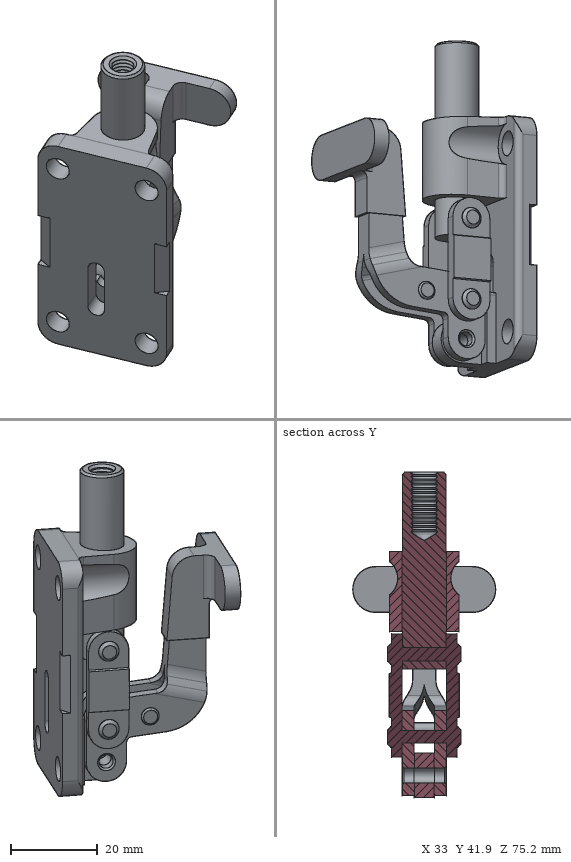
import cadquery as cq
import math

axis_y = 12.7
pivot_z = 5.2
lower_pin_z = 14.05
upper_pin_z = 33.1
pin_radius = 1.5
pivot_hole_radius = 1.65
pivot_hole_chamfer = 0.45
leg_half_width = 5.1
leg_thickness = 2.8
leg_gap_half = leg_half_width - leg_thickness

plate_width = 32.0
plate_height = 57.1
plate_thickness = 5.1
plate_corner_radius = 5.0
plate_edge_radius = 1.5
screw_hole_radius = 2.85
screw_x = 11.05
screw_margin = 6.45
screw_head_radius = 4.9
notch_bottom = 21.65
notch_height = 14.1
notch_width = 3.0
notch_depth = 1.9
slot_x = -1.5
slot_width = 4.1
slot_bottom = 11.05
slot_top = 26.1
pad_slot_bottom = 15.55
boss_radius = 8.0
boss_lean = 8.0
boss_draft = 2.0
boss_root_radius = 1.5
boss_bottom = 38.0
pad_half_width = leg_half_width
pad_front = 7.5
pad_height = 16.75
pad_corner_radius = 0.75

plunger_radius = 10.15 / 2
plunger_bottom = 29.7
plunger_top = 75.15
plunger_chamfer = 0.5
thread_minor_radius = 2.55
thread_major_radius = 3.0
thread_mouth_radius = 3.15
thread_pitch = 1.0
thread_count = 14
drill_tip_depth = 1.5

link_half_depth = 4.7
link_end_half_width = 7.6
link_middle_half_width = 8.1
link_middle_bottom = 18.55
link_middle_top = 28.7
link_step_height = 0.2
link_head_radius = 2.4
link_head_chamfer = 0.75
link_head_half_width = 8.5

taper = 0.08
foot_radius = 4.7
foot_top_radius = 4.95
arm_root_radius = 1.35
elbow_outer_radius = 10.75
elbow_inner_radius = 2.7
arm_bottom_z = 10.8
arm_top_z = 20.6
upright_outer_y = 36.7
upright_inner_y = 28.0
bend_radius = 4.95
bend_angle = math.radians(31)
bend_tilt = math.radians(14.3)
bend_start = 26.4
upright_half_width = 2.7
stop_pin_y = 23.0
stop_pin_z = 15.6
stop_pin_radius = 1.7
stop_head_radius = 2.1
stop_head_half_width = 5.6
stop_head_chamfer = 0.45

grip_bottom = 33.05
grip_half_width = 3.1
grip_overhang = 0.7
grip_top_radius = 5.2
bar_half_length = 33.0 / 2
bar_back = 38.25
bar_front = 41.9
bar_bottom = 42.75
bar_top = 53.35
neck_radius = 2.25
neck_lower_radius = 1.5


def rounded_outline(plane, corners):
    """Closed outline through (u, v, radius) corners, each rounded by a tangent arc."""
    smallest_line = 7.51e-07
    stretches = []
    for i, (u, v, radius) in enumerate(corners):
        corner = cq.Vector(u, v)
        before = (cq.Vector(*corners[i - 1][:2]) - corner).normalized()
        after = (cq.Vector(*corners[(i + 1) % len(corners)][:2]) - corner).normalized()
        half_angle = before.getAngle(after) / 2
        reach = radius / math.tan(half_angle)
        arc_distance = radius / math.sin(half_angle) - radius
        middle = corner + (before + after).normalized() * arc_distance
        stretches.append((corner + before * reach, middle, corner + after * reach, radius))
    outline = cq.Workplane(plane).moveTo(*stretches[0][0].toTuple()[:2])
    here = stretches[0][0]
    for start, middle, end, radius in stretches:
        if (start - here).Length > smallest_line:
            outline = outline.lineTo(start.x, start.y)
        if radius > 0:
            outline = outline.threePointArc((middle.x, middle.y), (end.x, end.y))
        here = end
    return outline.close()


def rod_x(y, z, radius, half_length):
    """Cylinder along X, centred on the middle plane."""
    return cq.Workplane("YZ", origin=(-half_length, y, z)).circle(radius).extrude(2 * half_length)


def box_between(x, y, z):
    """Box spanning the given (low, high) pairs."""
    return cq.Workplane("XY").box(x[1] - x[0], y[1] - y[0], z[1] - z[0], centered=False).translate(
        (x[0], y[0], z[0])
    )


def rod_y(x, z, radius, start, end):
    """Cylinder along Y between two distances from the back of the plate."""
    return cq.Workplane("XZ", origin=(x, start, z)).circle(radius).extrude(start - end)


def slot_cutter(bottom, start, end):
    """Upright slot with round ends, cut along Y."""
    length = slot_top - bottom
    centre = (slot_x, start, (slot_top + bottom) / 2)
    return cq.Workplane("XZ", origin=centre).slot2D(length, slot_width, 90).extrude(start - end)


def make_plate():
    half = plate_width / 2
    plate = box_between((-half, half), (0, plate_thickness), (0, plate_height))
    plate = plate.faces(">Y").edges("|Z").fillet(plate_edge_radius)
    corners = (
        cq.Workplane("XZ", origin=(0, 0, plate_height / 2))
        .rect(plate_width, plate_height)
        .extrude(-plate_thickness)
        .edges("|Y")
        .fillet(plate_corner_radius)
    )
    plate = plate.intersect(corners)
    for side in (-1, 1):
        notch = (
            cq.Workplane("XY", origin=(0, 0, notch_bottom))
            .polyline([(side * half, 0), (side * (half - notch_width), 0), (side * half, notch_depth)])
            .close()
            .extrude(notch_height)
        )
        plate = plate.cut(notch)
    return plate


def make_boss():
    lean = math.radians(boss_lean)
    tangent_x = boss_radius * math.cos(lean)
    tangent_y = axis_y + boss_radius * math.sin(lean)
    root_x = tangent_x + (tangent_y - plate_thickness) * math.tan(lean)
    flange_x = root_x + boss_root_radius
    section = (
        cq.Workplane("XY")
        .moveTo(-root_x, plate_thickness)
        .lineTo(-tangent_x, tangent_y)
        .threePointArc((0, axis_y + boss_radius), (tangent_x, tangent_y))
        .lineTo(root_x, plate_thickness)
        .lineTo(flange_x, plate_thickness)
        .lineTo(flange_x, 0)
        .lineTo(-flange_x, 0)
        .lineTo(-flange_x, plate_thickness)
        .close()
        .extrude(plate_height)
    )
    reach = boss_root_radius / 2
    root_edges = cq.selectors.BoxSelector(
        (-root_x - reach, plate_thickness - reach, 0),
        (root_x + reach, plate_thickness + reach, plate_height),
    )
    section = section.edges("|Z").edges(root_edges).fillet(boss_root_radius)

    front = axis_y + boss_radius
    rise = (front - plate_thickness) * math.tan(math.radians(boss_draft))
    side_profile = (
        cq.Workplane("YZ", origin=(-plate_width / 2, 0, 0))
        .polyline(
            [
                (0, boss_bottom),
                (plate_thickness, boss_bottom),
                (front, boss_bottom + rise),
                (front, plate_height - rise),
                (plate_thickness, plate_height),
                (0, plate_height),
            ]
        )
        .close()
        .extrude(plate_width)
    )
    return section.intersect(side_profile)


def make_pivot_lug():
    """Lug between the handle legs, on a pad behind them."""
    lug = rod_x(axis_y, pivot_z, pivot_z, leg_gap_half)
    lug = lug.union(box_between((-leg_gap_half, leg_gap_half), (0, axis_y), (0, 2 * pivot_z)))
    pad = box_between((-pad_half_width, pad_half_width), (0, pad_front), (0, pad_height))
    pad = pad.faces(">Z").edges("|Y").fillet(pad_corner_radius)
    return lug.union(pad).cut(rod_x(axis_y, pivot_z, pivot_hole_radius, leg_gap_half))


def make_base():
    base = make_plate().union(make_boss()).union(make_pivot_lug())
    base = base.cut(slot_cutter(slot_bottom, 0, plate_thickness))
    base = base.cut(slot_cutter(pad_slot_bottom, 0, pad_front))
    for x in (-screw_x, screw_x):
        for z in (screw_margin, plate_height - screw_margin):
            base = base.cut(rod_y(x, z, screw_hole_radius, 0, plate_thickness))
        head_room = rod_y(
            x, plate_height - screw_margin, screw_head_radius, plate_thickness, axis_y + boss_radius
        )
        base = base.cut(head_room)
    bore = cq.Workplane("XY", origin=(0, axis_y, 0)).workplane(offset=boss_bottom)
    return base.cut(bore.circle(plunger_radius).extrude(plate_height - boss_bottom))


def make_threaded_hole():
    """Hole with a chamfered mouth, ring-shaped thread grooves and a conical tip."""
    mouth_depth = thread_mouth_radius - thread_minor_radius
    thread_start = plunger_top - mouth_depth
    points = [(0, plunger_top), (thread_mouth_radius, plunger_top), (thread_minor_radius, thread_start)]
    for i in range(thread_count):
        groove_top = thread_start - i * thread_pitch
        points.append((thread_major_radius, groove_top - thread_pitch / 2))
        points.append((thread_minor_radius, groove_top - thread_pitch))
    tip_z = thread_start - thread_count * thread_pitch - drill_tip_depth
    points.append((0, tip_z))
    profile = cq.Workplane("XZ").polyline(points).close()
    return profile.revolve(360, (0, 0, 0), (0, 1, 0)).translate((0, axis_y, 0))


def make_plunger():
    rod = (
        cq.Workplane("XY", origin=(0, axis_y, plunger_bottom))
        .circle(plunger_radius)
        .extrude(plunger_top - plunger_bottom)
        .faces(">Z")
        .chamfer(plunger_chamfer)
    )
    rod = rod.cut(make_threaded_hole())
    return rod.cut(rod_x(axis_y, upper_pin_z, pin_radius, plunger_radius))


def make_link_plate():
    """Side plate on the +X side, thicker in the middle, with round ends."""
    low = lower_pin_z - link_half_depth
    high = upper_pin_z + link_half_depth
    half_step = link_step_height / 2
    outline = (
        cq.Workplane("YZ", origin=(0, axis_y, (low + high) / 2))
        .slot2D(high - low, 2 * link_half_depth, 90)
        .extrude(link_middle_half_width)
    )
    thickness_profile = cq.Workplane("XZ", origin=(0, axis_y, 0)).polyline(
        [
            (leg_half_width, low),
            (link_end_half_width, low),
            (link_end_half_width, link_middle_bottom - half_step),
            (link_middle_half_width, link_middle_bottom + half_step),
            (link_middle_half_width, link_middle_top - half_step),
            (link_end_half_width, link_middle_top + half_step),
            (link_end_half_width, high),
            (leg_half_width, high),
        ]
    )
    return thickness_profile.close().extrude(link_half_depth, both=True).intersect(outline)


def make_headed_pin(y, z, radius, head_radius, head_half_width, head_chamfer):
    """Pin between the outer faces of the legs, with a chamfered head beyond each of them."""
    heads = rod_x(y, z, head_radius, head_half_width).faces("<X or >X").chamfer(head_chamfer)
    heads = heads.cut(rod_x(y, z, head_radius, leg_half_width))
    return heads.union(rod_x(y, z, radius, leg_half_width))


def make_link():
    """Two side plates joined by two headed pins."""
    plate = make_link_plate()
    link = plate.union(plate.mirror("YZ"))
    for z in (lower_pin_z, upper_pin_z):
        pin = make_headed_pin(
            axis_y, z, pin_radius, link_head_radius, link_head_half_width, link_head_chamfer
        )
        link = link.union(pin)
    return link


def make_leg_section():
    """Leg of the fork, bent inwards to the upright; seen along the bend lines."""
    foot_far = -2 * leg_half_width
    upright_far = 2 * grip_bottom
    inner_radius = bend_radius - leg_thickness
    outer_radius = bend_radius + leg_thickness
    sine, cosine = math.sin(bend_angle), math.cos(bend_angle)
    half_sine, half_cosine = math.sin(bend_angle / 2), math.cos(bend_angle / 2)
    offset = leg_half_width - upright_half_width
    straight_rise = (offset - 2 * bend_radius * (1 - cosine)) / math.tan(bend_angle)
    bend_end = bend_start + 2 * bend_radius * sine + straight_rise
    lower_x = leg_half_width - bend_radius
    upper_x = upright_half_width + bend_radius

    def lower_arc(radius, s, c):
        return (lower_x + radius * c, bend_start + radius * s)

    def upper_arc(radius, s, c):
        return (upper_x - radius * c, bend_end - radius * s)

    plane = cq.Plane(
        origin=(0, 0, 0), xDir=(1, 0, 0), normal=(0, -math.cos(bend_tilt), math.sin(bend_tilt))
    )
    return (
        cq.Workplane(plane)
        .moveTo(leg_half_width, foot_far)
        .lineTo(*lower_arc(bend_radius, 0, 1))
        .threePointArc(
            lower_arc(bend_radius, half_sine, half_cosine), lower_arc(bend_radius, sine, cosine)
        )
        .lineTo(*upper_arc(bend_radius, sine, cosine))
        .threePointArc(upper_arc(bend_radius, half_sine, half_cosine), upper_arc(bend_radius, 0, 1))
        .lineTo(upright_half_width, upright_far)
        .lineTo(upright_half_width - leg_thickness, upright_far)
        .lineTo(*upper_arc(outer_radius, 0, 1))
        .threePointArc(
            upper_arc(outer_radius, half_sine, half_cosine), upper_arc(outer_radius, sine, cosine)
        )
        .lineTo(*lower_arc(inner_radius, sine, cosine))
        .threePointArc(
            lower_arc(inner_radius, half_sine, half_cosine), lower_arc(inner_radius, 0, 1)
        )
        .lineTo(leg_gap_half, foot_far)
        .close()
    )


def make_pivot_hole():
    """Hole through both legs, chamfered at its outer ends."""
    mouth_radius = pivot_hole_radius + pivot_hole_chamfer
    chamfer_x = leg_half_width - pivot_hole_chamfer
    profile = cq.Workplane("XY").polyline(
        [
            (-leg_half_width, 0),
            (-leg_half_width, mouth_radius),
            (-chamfer_x, pivot_hole_radius),
            (chamfer_x, pivot_hole_radius),
            (leg_half_width, mouth_radius),
            (leg_half_width, 0),
        ]
    )
    hole = profile.close().revolve(360, (0, 0, 0), (1, 0, 0))
    return hole.translate((0, axis_y, pivot_z))


def make_handle():
    foot_front = axis_y + foot_radius
    foot_back = axis_y - foot_radius
    foot_bottom = pivot_z - foot_radius
    inner_y = (upright_inner_y - taper * (grip_bottom - arm_top_z + taper * foot_front)) / (1 - taper**2)
    inner_z = arm_top_z + taper * (inner_y - foot_front)
    elbow_z = arm_bottom_z + taper * (upright_outer_y - foot_front)
    corners = [
        (foot_back, foot_bottom, foot_radius),
        (foot_front, foot_bottom, foot_radius),
        (foot_front, arm_bottom_z, arm_root_radius),
        (upright_outer_y, elbow_z, elbow_outer_radius),
        (upright_outer_y, grip_bottom, 0),
        (upright_inner_y, grip_bottom, 0),
        (inner_y, inner_z, elbow_inner_radius),
        (foot_back, arm_top_z - taper * 2 * foot_radius, foot_top_radius),
    ]
    side_view = rounded_outline("YZ", corners).extrude(leg_half_width, both=True)
    leg = make_leg_section().extrude(2 * bar_front, both=True)
    handle = side_view.intersect(leg.union(leg.mirror("YZ")))

    stop_pin = make_headed_pin(
        stop_pin_y, stop_pin_z, stop_pin_radius, stop_head_radius, stop_head_half_width, stop_head_chamfer
    )
    handle = handle.union(stop_pin)
    handle = handle.cut(rod_x(axis_y, lower_pin_z, pin_radius, leg_half_width))
    return handle.cut(make_pivot_hole())


def make_grip():
    neck_y = upright_outer_y + grip_overhang
    inner_y = upright_inner_y - grip_overhang
    corners = [
        (bar_front, bar_top, 0),
        (inner_y + taper * (bar_top - grip_bottom), bar_top, grip_top_radius),
        (inner_y, grip_bottom, 0),
        (neck_y, grip_bottom, 0),
        (neck_y, bar_bottom, neck_lower_radius),
        (bar_front, bar_bottom, 0),
    ]
    grip = rounded_outline("YZ", corners).extrude(grip_half_width, both=True)
    bar_height = bar_top - bar_bottom
    bar = (
        cq.Workplane("XZ", origin=(0, bar_back, (bar_top + bar_bottom) / 2))
        .slot2D(2 * bar_half_length, bar_height)
        .extrude(bar_back - bar_front)
    )
    web_half = grip_half_width + neck_radius
    web = box_between((-web_half, web_half), (bar_back - neck_radius, bar_back), (bar_bottom, bar_top))
    for x in (-web_half, web_half):
        hollow = cq.Workplane("XY", origin=(x, bar_back - neck_radius, bar_bottom))
        web = web.cut(hollow.circle(neck_radius).extrude(bar_height))
    return grip.union(bar).union(web)


base = make_base()
plunger = make_plunger()
link = make_link()
handle = make_handle()
grip = make_grip()

result = cq.Compound.makeCompound([base.val(), plunger.val(), link.val(), handle.val(), grip.val()])